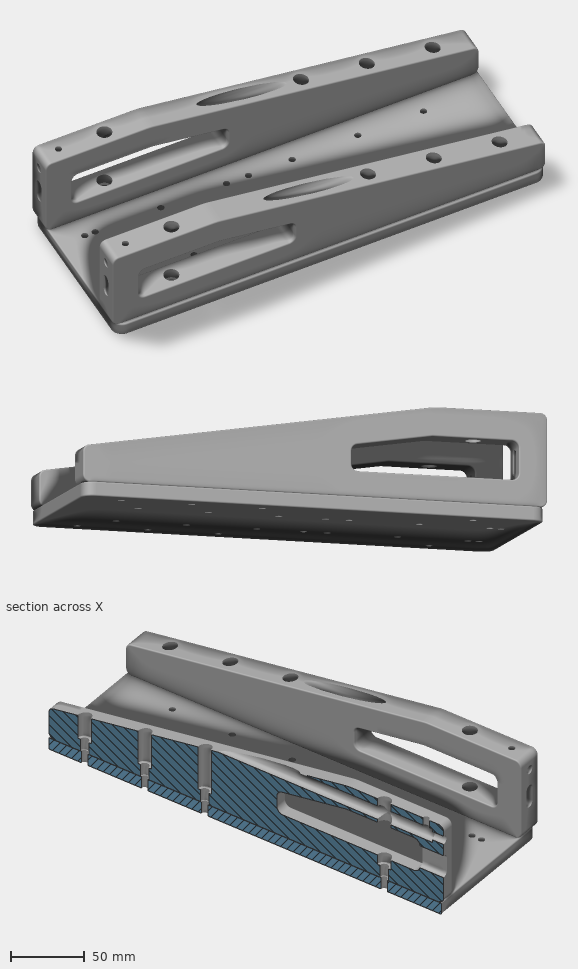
import cadquery as cq
import math


total_length = 330.0
total_height = 75.0
edge_radius = 1.0

plate_width = 124.0
plate_length = 328.0
plate_thickness = 10.0
plate_corner_radius = 8.2

rail_width = 20.0
rail_spacing = 100.0
rail_rear_height = 25.0
level_length = 80.0
rail_end_radius = 5.0
crest_radius = 39.5
rail_front_height = total_height - plate_thickness
rail_rear_top = plate_thickness + rail_rear_height
slope_angle = math.atan2(rail_front_height - rail_rear_height, total_length - level_length)

window_front = 20.0
window_length = 119.0
window_floor = plate_thickness + 17.8
window_roof_depth = 20.0
window_corner_radius = 5.0
window_rear = window_front + window_length

rear_screw_count = 3
screw_pitch = 50.0
front_screw_inset = 49.8
rear_screw_inset = 30.0
screw_hole_diameter = 6.5
screw_head_diameter = 11.0
screw_head_seat = plate_thickness + 10.0
tapped_hole_diameter = 5.0
rear_screw_places = [total_length - rear_screw_inset - i * screw_pitch for i in range(rear_screw_count)]
screw_places = [front_screw_inset] + rear_screw_places

bolt_height = 63.0
bolt_hole_diameter = 6.5
bolt_head_diameter = 11.0
bolt_head_seat = 10.0

slot_width = 7.0
slot_height = 18.0
slot_center_height = 41.0
slot_depth = window_front + window_corner_radius
set_screw_inset = 15.0
set_screw_diameter = 5.0

mount_spacing = 49.8
first_mount_inset = 49.8
last_mount_inset = 300.0
mount_count = 6
mount_hole_diameter = 5.0
extra_mount_insets = [183.0, 308.0]
mount_pitch = (last_mount_inset - first_mount_inset) / (mount_count - 1)
mount_insets = [first_mount_inset + i * mount_pitch for i in range(mount_count)] + extra_mount_insets

rail_centers = [-rail_spacing / 2, rail_spacing / 2]


def vertical_hole(x, y, diameter, bottom, top):
    """Upright cylinder used as a cutter."""
    return cq.Workplane("XY", origin=(x, y, bottom)).circle(diameter / 2).extrude(top - bottom)


def lengthwise_hole(x, z, diameter, front, rear):
    """Cylinder along Y used as a cutter."""
    return cq.Workplane("XZ", origin=(x, front, z)).circle(diameter / 2).extrude(front - rear)


def side_prism(x, points):
    """Prism of rail width, centred on x, from an outline of (y, z) points."""
    start = x - rail_width / 2
    return cq.Workplane("YZ", origin=(start, 0, 0)).polyline(points).close().extrude(rail_width)


def make_plate():
    plate = (
        cq.Workplane("XY")
        .box(plate_width, plate_length, plate_thickness, centered=(True, False, False))
        .translate((0, total_length - plate_length, 0))
        .edges("|Z").fillet(plate_corner_radius)
        .faces("<Z or >Z").edges().fillet(edge_radius)
    )
    for x in (-mount_spacing / 2, mount_spacing / 2):
        for inset in mount_insets:
            y = total_length - inset
            plate = plate.cut(vertical_hole(x, y, mount_hole_diameter, 0, plate_thickness))
    for x in rail_centers:
        for y in screw_places:
            plate = plate.cut(vertical_hole(x, y, tapped_hole_diameter, 0, plate_thickness))
    return plate


def make_window(x):
    roof = total_height - window_roof_depth
    roof_bend = level_length + window_roof_depth * math.tan(slope_angle / 2)
    roof_rear = roof - (window_rear - roof_bend) * math.tan(slope_angle)
    outline = [
        (window_front, window_floor),
        (window_rear, window_floor),
        (window_rear, roof_rear),
        (roof_bend, roof),
        (window_front, roof),
    ]
    window = side_prism(x, outline)
    return window.edges("|X and (<Y or >Y)").fillet(window_corner_radius)


def make_rail_blank(x):
    outline = [
        (0, plate_thickness),
        (total_length, plate_thickness),
        (total_length, rail_rear_top),
        (level_length, total_height),
        (0, total_height),
    ]
    crest = cq.selectors.NearestToPointSelector((x, level_length, total_height))
    return (
        side_prism(x, outline)
        .edges("|X and (<Y or >Y)").fillet(rail_end_radius)
        .edges(crest).fillet(crest_radius)
    )


def make_rail(x):
    rail = make_rail_blank(x).cut(make_window(x))
    rail = rail.faces("<X or >X").edges().fillet(edge_radius)

    for y in screw_places:
        rail = rail.cut(vertical_hole(x, y, screw_hole_diameter, plate_thickness, screw_head_seat))
        rail = rail.cut(vertical_hole(x, y, screw_head_diameter, screw_head_seat, total_height))

    rail = rail.cut(lengthwise_hole(x, bolt_height, bolt_hole_diameter, 0, bolt_head_seat))
    rail = rail.cut(lengthwise_hole(x, bolt_height, bolt_head_diameter, bolt_head_seat, total_length))
    rail = rail.cut(vertical_hole(x, set_screw_inset, set_screw_diameter, bolt_height, total_height))

    slot = (
        cq.Workplane("XZ", origin=(x, 0, slot_center_height))
        .slot2D(slot_height, slot_width, 90)
        .extrude(-slot_depth)
    )
    return rail.cut(slot)


plate = make_plate()
rails = [make_rail(x) for x in rail_centers]

result = cq.Compound.makeCompound([plate.val(), *[rail.val() for rail in rails]])